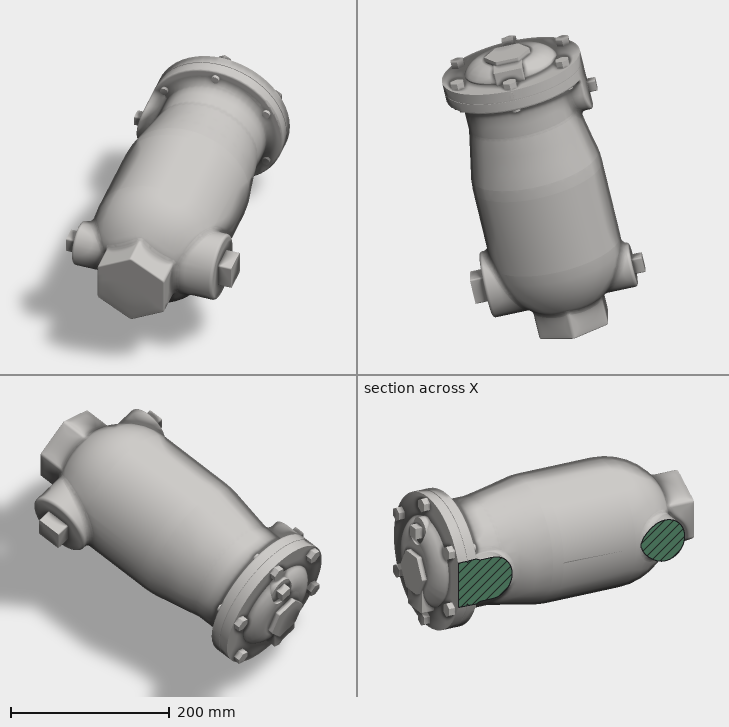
import cadquery as cq
import math


body_radius = 83.5
neck_radius = 70.2
dome_centre_y = 104.0
barrel_end_y = 206.5
taper_wide_y = 221.2
taper_wide_radius = 82.5
taper_narrow_y = 284.2
taper_narrow_radius = 70.5
neck_start_y = 287.5
neck_blend = 8.5
seam_angle = 45.0

flange_radius = 89.0
flange_start_y = 329.7
joint_y = 344.5
cover_face_y = 357.0
flange_edge_round = 2.5
gasket_thickness = 1.0
gasket_recess = 0.8
locating_pip_width = 3.5
locating_pip_length = 9.0
locating_pip_height = 1.0

cover_dome_radius = 59.2
cover_dome_foot_y = 359.0
cover_dome_flat_radius = 30.5
cover_dome_top_y = 372.5
cover_shoulder_radius = 50.0
cover_shoulder_y = 368.0

bolt_count = 6
bolt_circle_radius = 78.0
bolt_head_flats = 16.0
bolt_head_height = 8.5
bolt_shank_diameter = 10.2
bolt_end_y = 325.5

overall_length = 379.5
cover_hex_flats = 51.0
cover_hex_z = -11.0
cover_hex_round = 2.3
spot_face_y = 367.3
spot_face_z = 44.0
spot_face_radius = 17.5
cover_plug_width = 14.5
cover_plug_end_y = 377.0
lug_half_width = 18.5
lug_bottom_z = -62.2
lug_inner_z = -30.5
lug_top_y = 374.0
lug_edge_round = 2.0

outlet_flats = 88.8
outlet_edge_round = 4.5
outlet_rim_round = 2.0
casting_blend = 7.5

port_rim_round = 3.8
plug_edge_round = 2.0
plug_embed = 3.8
boss_seam_angle = 130.0
large_port_y = 77.0
large_port_radius = 42.5
large_port_face = 95.5
large_plug_width = 33.0
large_plug_end = 113.0
small_port_y = 63.0
small_port_radius = 28.5
small_port_face = 91.0
small_plug_width = 20.5
small_plug_end = 104.0

vent_y = 309.2
vent_boss_radius = 29.2
vent_flare_radius = 5.7
vent_boss_round = 3.0
vent_plug_y = 310.0
vent_plug_body_radius = 10.5
vent_plug_width = 14.5
vent_plug_end = 99.5
vent_blend = 7.5

touch_tolerance = 0.005


def plane_at_y(y):
    """Work plane at a given Y with local X along X, local Y along Z and its normal along -Y."""
    return cq.Workplane("XZ", origin=(0, y, 0))


def cylinder_y(radius, start, end, z=0.0):
    """Cylinder along Y between two Y positions, with its axis at X = 0."""
    return plane_at_y(end).center(0, z).circle(radius).extrude(end - start)


def block(x_range, y_range, z_range):
    """Box given by its lower and upper limit along each axis."""
    spans = [high - low for low, high in (x_range, y_range, z_range)]
    corner = (x_range[0], y_range[0], z_range[0])
    return cq.Workplane("XY").box(*spans, centered=False).translate(corner)


def make_hexagon(flats, start, end, corner_round=0.0, z=0.0, corner_angle=90.0):
    """Hexagonal prism along Y with rounded corner edges."""
    across_corners = flats / math.cos(math.pi / 6)
    prism = cq.Workplane("XZ").polygon(6, across_corners).extrude(start - end)
    if corner_round > 0:
        prism = prism.edges("|Y").fillet(corner_round)
    prism = prism.rotate((0, 0, 0), (0, 1, 0), corner_angle)
    return prism.translate((0, start, z))


def make_vessel():
    """Domed barrel tapering through a soft shoulder to the neck, up to the flange underside."""
    diagonal = body_radius * math.sqrt(0.5)
    shoulder_y = (barrel_end_y + taper_wide_y) / 2
    shoulder_drop = (body_radius - taper_wide_radius) / 4
    throat_y = (taper_narrow_y + neck_start_y) / 2
    throat_rise = (taper_narrow_radius - neck_radius) / 4
    return (
        cq.Workplane("XY")
        .moveTo(0, dome_centre_y - body_radius)
        .threePointArc((diagonal, dome_centre_y - diagonal), (body_radius, dome_centre_y))
        .lineTo(body_radius, barrel_end_y)
        .threePointArc((body_radius - shoulder_drop, shoulder_y), (taper_wide_radius, taper_wide_y))
        .lineTo(taper_narrow_radius, taper_narrow_y)
        .threePointArc((neck_radius + throat_rise, throat_y), (neck_radius, neck_start_y))
        .lineTo(neck_radius, flange_start_y)
        .lineTo(0, flange_start_y)
        .close()
        .revolve(360, (0, 0, 0), (0, 1, 0))
        .rotate((0, 0, 0), (0, 1, 0), seam_angle)
    )


def port_boss(side, y, radius, face):
    """Round boss along X from the vessel axis with a rounded outer rim; side is +1 or -1."""
    outer_face = ">X" if side > 0 else "<X"
    boss = cq.Workplane("YZ").circle(radius).extrude(side * face)
    boss = boss.faces(outer_face).edges().fillet(port_rim_round)
    return boss.rotate((0, 0, 0), (1, 0, 0), boss_seam_angle).translate((0, y, 0))


def square_plug(side, y, width, start, end):
    """Square head along X, reaching from inside a boss out to its end; side is +1 or -1."""
    plug = cq.Workplane("YZ", origin=(side * start, y, 0)).rect(width, width).extrude(side * (end - start))
    return plug.edges("|X").fillet(plug_edge_round)


def vent_boss():
    """Tongue below the flange: round lower end, straight sides, outer face flush with the flange."""
    half = vent_boss_radius
    tongue = (
        cq.Workplane("YZ")
        .moveTo(vent_y, half)
        .threePointArc((vent_y - half, 0), (vent_y, -half))
        .lineTo(flange_start_y, -half)
        .lineTo(flange_start_y, half)
        .close()
        .extrude(-2 * flange_radius)
    )
    tongue = tongue.intersect(cylinder_y(flange_radius, vent_y - 2 * half, flange_start_y))
    return tongue.faces("<X").edges("not >Y").fillet(vent_boss_round)


def vent_flares():
    """Flared root where the sides of the vent boss curve out into the flange underside."""
    half = vent_boss_radius
    flare_start_y = flange_start_y - vent_flare_radius
    flare_half = half + vent_flare_radius
    bow = vent_flare_radius * (1 - math.sqrt(0.5))
    lip_y = flange_start_y + flange_edge_round
    root = (
        cq.Workplane("YZ")
        .moveTo(flare_start_y, -half)
        .threePointArc((flange_start_y - bow, -half - bow), (flange_start_y, -flare_half))
        .lineTo(lip_y, -flare_half)
        .lineTo(lip_y, flare_half)
        .lineTo(flange_start_y, flare_half)
        .threePointArc((flange_start_y - bow, half + bow), (flare_start_y, half))
        .close()
        .extrude(-2 * flange_radius)
    )
    root = root.intersect(cylinder_y(flange_radius, vent_y, lip_y))
    return root.faces("<X").edges("not(>Y or <Y)").fillet(vent_boss_round)


def lies_on(edge, shell):
    """True if an edge runs along a shell of faces."""
    samples = [cq.Vertex.makeVertex(*edge.positionAt(t).toTuple()) for t in (0.2, 0.5, 0.8)]
    return all(shell.distance(point) < touch_tolerance for point in samples)


def blended_union(body, tool, radius):
    """Join two solids and fillet the edges where their surfaces meet."""
    joined = body.union(tool)
    body_shell = body.shells().val()
    tool_shell = tool.shells().val()
    edges = joined.edges().vals()
    seams = [edge for edge in edges if lies_on(edge, body_shell) and lies_on(edge, tool_shell)]
    return joined.newObject(seams).fillet(radius)


def make_flange():
    """Body flange, recessed gasket and cover flange, with a rounded lower rim and a pip on the cover rim."""
    disc = cylinder_y(flange_radius, flange_start_y, cover_face_y)
    disc = disc.faces("<Y").edges().fillet(flange_edge_round)
    gasket_band = cylinder_y(flange_radius, joint_y - gasket_thickness, joint_y)
    gasket = cylinder_y(flange_radius - gasket_recess, joint_y - gasket_thickness, joint_y)
    disc = disc.cut(gasket_band.cut(gasket))
    pip_y = (joint_y + cover_face_y) / 2
    pip_bottom = -flange_radius - locating_pip_height
    return disc.union(
        block(
            (-locating_pip_width / 2, locating_pip_width / 2),
            (pip_y - locating_pip_length / 2, pip_y + locating_pip_length / 2),
            (pip_bottom, -cover_dome_radius),
        )
    )


def make_neck_blend():
    """Ring with a concave quarter-round section between the neck and the flange underside."""
    inner_radius = neck_radius - neck_blend
    start_y = flange_start_y - neck_blend
    outer_radius = neck_radius + neck_blend
    bow = neck_blend * (1 - math.sqrt(0.5))
    return (
        cq.Workplane("XY")
        .moveTo(inner_radius, start_y)
        .lineTo(neck_radius, start_y)
        .threePointArc((neck_radius + bow, flange_start_y - bow), (outer_radius, flange_start_y))
        .lineTo(outer_radius, flange_start_y + flange_edge_round)
        .lineTo(inner_radius, flange_start_y + flange_edge_round)
        .close()
        .revolve(360, (0, 0, 0), (0, 1, 0))
    )


def make_bolts():
    """Hexagon heads on the cover and shank ends showing below the flange."""
    head = make_hexagon(bolt_head_flats, cover_face_y, cover_face_y + bolt_head_height)
    bolt = head.union(cylinder_y(bolt_shank_diameter / 2, bolt_end_y, cover_face_y))
    bolts = cq.Workplane("XY")
    for index in range(bolt_count):
        angle = 2 * math.pi * index / bolt_count
        x = bolt_circle_radius * math.sin(angle)
        z = bolt_circle_radius * math.cos(angle)
        bolts = bolts.add(bolt.translate((x, 0, z)))
    return bolts.combine()


def make_cover_dome():
    """Flat-topped dome of the cover, with a short straight foot."""
    return (
        cq.Workplane("XY")
        .moveTo(0, joint_y)
        .lineTo(cover_dome_radius, joint_y)
        .lineTo(cover_dome_radius, cover_dome_foot_y)
        .threePointArc((cover_shoulder_radius, cover_shoulder_y), (cover_dome_flat_radius, cover_dome_top_y))
        .lineTo(0, cover_dome_top_y)
        .close()
        .revolve(360, (0, 0, 0), (0, 1, 0))
    )


def make_cover_fittings():
    """Domed cover with its hexagon plug, spot-faced plug boss and lower lug."""
    dome = make_cover_dome()
    lug = block((-lug_half_width, lug_half_width), (joint_y, lug_top_y), (lug_bottom_z, lug_inner_z))
    lug = lug.faces("<Z").edges("|Y").fillet(lug_edge_round)
    spot_face = cylinder_y(spot_face_radius, spot_face_y, overall_length, z=spot_face_z)
    boss = cylinder_y(spot_face_radius, joint_y, spot_face_y, z=spot_face_z)
    plug_half = cover_plug_width / 2
    plug = block(
        (-plug_half, plug_half),
        (joint_y, cover_plug_end_y),
        (spot_face_z - plug_half, spot_face_z + plug_half),
    )
    hexagon = make_hexagon(cover_hex_flats, joint_y, overall_length, cover_hex_round, cover_hex_z, 0.0)
    return dome.union(lug).cut(spot_face).union(boss).union(plug).union(hexagon)


outlet = make_hexagon(outlet_flats, 0, dome_centre_y, outlet_edge_round)
outlet = outlet.faces("<Y").edges().fillet(outlet_rim_round)
casting = make_vessel()
for boss in (
    port_boss(1, large_port_y, large_port_radius, large_port_face),
    port_boss(-1, small_port_y, small_port_radius, small_port_face),
    outlet,
):
    casting = blended_union(casting, boss, casting_blend)
casting = blended_union(casting, vent_boss(), vent_blend).union(vent_flares())

result = casting.union(make_flange()).union(make_neck_blend())
result = result.union(make_cover_fittings()).union(make_bolts())

vent_plug_body = cq.Workplane("YZ", origin=(0, vent_plug_y, 0)).circle(vent_plug_body_radius)
vent_plug_body = vent_plug_body.extrude(-flange_radius)
result = result.union(vent_plug_body)

for side, y, width, face, end in (
    (1, large_port_y, large_plug_width, large_port_face, large_plug_end),
    (-1, small_port_y, small_plug_width, small_port_face, small_plug_end),
    (-1, vent_plug_y, vent_plug_width, flange_radius, vent_plug_end),
):
    result = result.union(square_plug(side, y, width, face - plug_embed, end))